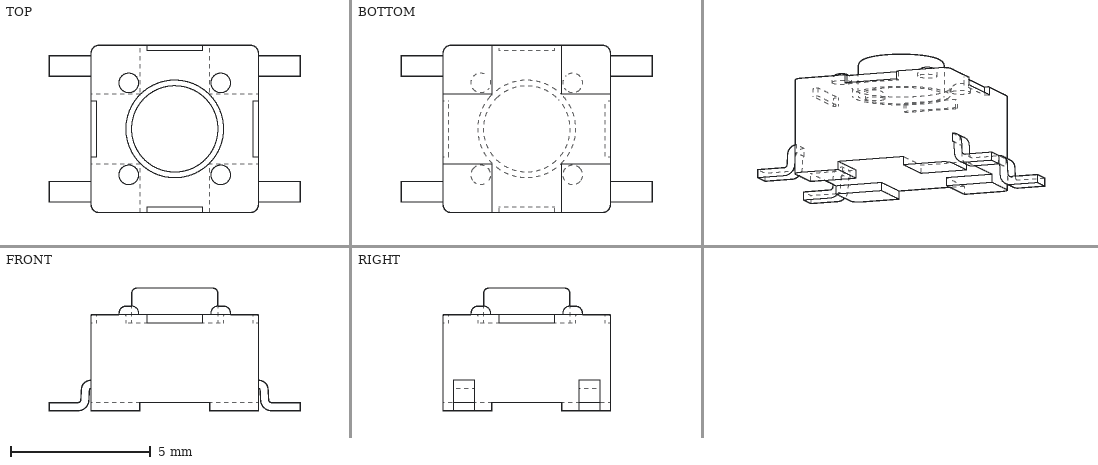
import cadquery as cq
import math

BODY_SIDE = 6.0
BODY_HEIGHT = 3.45
CORNER_RADIUS = 0.3
TOP_EDGE_RADIUS = 0.05

CHANNEL_WIDTH = 2.5
CHANNEL_HEIGHT = 0.3

COVER_THICKNESS = 0.3
NOTCH_LENGTH = 2.0
NOTCH_DEPTH = 0.2
HOLE_DIAMETER = 3.5

BUTTON_DIAMETER = 3.1
BUTTON_TOP = 4.4
BUTTON_EDGE_RADIUS = 0.2

RIVET_DIAMETER = 0.7
RIVET_HEIGHT = 0.31
RIVET_EDGE_RADIUS = 0.25
RIVET_OFFSET = 1.65

LEAD_SPAN = 9
LEAD_WIDTH = 0.75
LEAD_THICKNESS = 0.3
LEAD_OFFSET = 2.25
LEAD_FOOT_INNER_RADIUS = 0.1
LEAD_SHOULDER_INNER_RADIUS = 0.05
LEAD_SHOULDER_HEIGHT = 1.1
LEAD_LEAN = math.radians(3)

COVER_BOTTOM = BODY_HEIGHT - COVER_THICKNESS


def make_housing():
    """Square block with the rounded hole, edge notches and bottom channels cut out."""
    housing = (
        cq.Workplane("XY")
        .rect(BODY_SIDE, BODY_SIDE)
        .extrude(BODY_HEIGHT)
        .edges("|Z")
        .fillet(CORNER_RADIUS)
        .faces(">Z")
        .workplane()
        .hole(HOLE_DIAMETER, COVER_THICKNESS)
        .faces(">Z")
        .edges()
        .fillet(TOP_EDGE_RADIUS)
    )
    notch = (
        cq.Workplane("XY", origin=(BODY_SIDE / 2, 0, COVER_BOTTOM))
        .rect(2 * NOTCH_DEPTH, NOTCH_LENGTH)
        .extrude(COVER_THICKNESS)
    )
    for angle in (0, 90, 180, 270):
        housing = housing.cut(notch.rotate((0, 0, 0), (0, 0, 1), angle))

    channel = cq.Workplane("XY").rect(BODY_SIDE, CHANNEL_WIDTH).extrude(CHANNEL_HEIGHT)
    for angle in (0, 90):
        housing = housing.cut(channel.rotate((0, 0, 0), (0, 0, 1), angle))
    return housing


def make_button():
    """Round push button standing on the floor of the cover hole."""
    return (
        cq.Workplane("XY", origin=(0, 0, COVER_BOTTOM))
        .circle(BUTTON_DIAMETER / 2)
        .extrude(BUTTON_TOP - COVER_BOTTOM)
        .faces(">Z")
        .edges()
        .fillet(BUTTON_EDGE_RADIUS)
    )


def make_rivets():
    """Four domed rivet heads with small flat tops."""
    return (
        cq.Workplane("XY", origin=(0, 0, BODY_HEIGHT))
        .rect(2 * RIVET_OFFSET, 2 * RIVET_OFFSET, forConstruction=True)
        .vertices()
        .circle(RIVET_DIAMETER / 2)
        .extrude(RIVET_HEIGHT)
        .faces(">Z")
        .edges()
        .fillet(RIVET_EDGE_RADIUS)
    )


def make_lead():
    """S-bent lead on the +X side, centred on Y = 0."""
    tip_x = LEAD_SPAN / 2
    wall_x = BODY_SIDE / 2
    foot_inner = LEAD_FOOT_INNER_RADIUS
    foot_outer = foot_inner + LEAD_THICKNESS

    shoulder_inner = LEAD_SHOULDER_INNER_RADIUS
    shoulder_outer = shoulder_inner + LEAD_THICKNESS

    foot_z = foot_outer
    shoulder_z = LEAD_SHOULDER_HEIGHT - shoulder_outer
    rise = shoulder_z - foot_z
    across_leg = foot_outer + shoulder_inner
    foot_x = wall_x + (across_leg + rise * math.sin(LEAD_LEAN)) / math.cos(LEAD_LEAN)

    def foot_point(radius, angle):
        return (foot_x - radius * math.cos(angle), foot_z - radius * math.sin(angle))

    def shoulder_point(radius, angle):
        return (wall_x + radius * math.cos(angle), shoulder_z + radius * math.sin(angle))

    flat = math.pi / 2
    middle = (flat + LEAD_LEAN) / 2
    return (
        cq.Workplane("XZ")
        .moveTo(*shoulder_point(shoulder_outer, flat))
        .threePointArc(
            shoulder_point(shoulder_outer, middle), shoulder_point(shoulder_outer, LEAD_LEAN)
        )
        .lineTo(*foot_point(foot_inner, LEAD_LEAN))
        .threePointArc(foot_point(foot_inner, middle), foot_point(foot_inner, flat))
        .lineTo(tip_x, LEAD_THICKNESS)
        .lineTo(tip_x, 0)
        .lineTo(*foot_point(foot_outer, flat))
        .threePointArc(foot_point(foot_outer, middle), foot_point(foot_outer, LEAD_LEAN))
        .lineTo(*shoulder_point(shoulder_inner, LEAD_LEAN))
        .threePointArc(
            shoulder_point(shoulder_inner, middle), shoulder_point(shoulder_inner, flat)
        )
        .close()
        .extrude(LEAD_WIDTH / 2, both=True)
    )


result = make_housing().union(make_button()).union(make_rivets())

right_lead = make_lead()
left_lead = right_lead.mirror("YZ")
for lead in (right_lead, left_lead):
    for y in (-LEAD_OFFSET, LEAD_OFFSET):
        result = result.union(lead.translate((0, y, 0)))